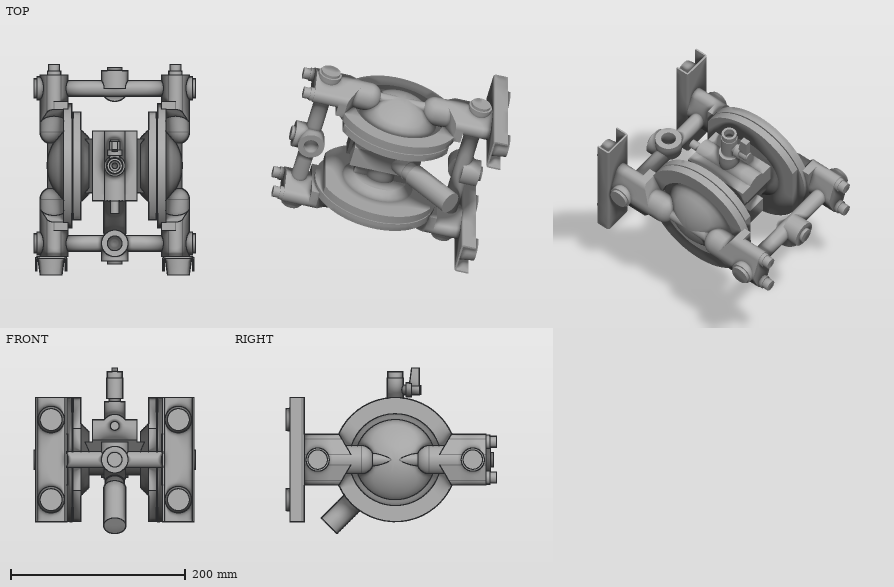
import cadquery as cq
import math


SIDES = (-1, 1)
COS45 = math.cos(math.radians(45))

flange_radius = 71.3
cone_inner_x = 29.5
inner_flange_x = 39.0
inner_flange_outer_x = 47.8
outer_flange_x = 49.3
outer_flange_outer_x = 58.7
cone_small_radius = 32.1
cone_large_radius = cone_small_radius + inner_flange_x - cone_inner_x
inner_flange_flat_y = 61.8
diaphragm_radius = 54.5
recess_radius = 52.7
recess_floor_x = 52.0
dome_apex_x = 77.5
dome_radius = 54.0

block_width = 51.2
block_length = 80.2
block_bottom_z = 22.7
block_top_z = 46.0
ridge_radius = 14.5
ridge_top_z = 52.0
bridge_length = 61.8
bridge_top_z = 20.3
bridge_bottom_z = -8.5
shaft_radius = 17.9
inlet_boss_radius = 11.8
inlet_boss_top_z = 66.5
spool_end_radius = 5.0
spool_end_z = 38.7
spool_end_y = -54.5

exhaust_block_width = 24.2
exhaust_block_bottom_z = -22.2
exhaust_block_chamfer = 11.0
collar_radius = 11.4
collar_end = 37.0
exhaust_neck_radius = 10.6
muffler_start = 46.9
muffler_end = 107.3
muffler_radius = 12.8

arm_x = 69.5
arm_end_y = 104.1
arm_radius = 16.2
lobe_radius = 8.7
lobe_z = 20.5
arm_half_height = lobe_z + lobe_radius
arm_slope_y = 64.5
arm_slope_end_y = 50.7
arm_slope_end_z = 5.8
pad_outer_y = 74.0
stub_end_y = 25.1
stub_rounding = 13.5
cross_pipe_radius = 7.2
cross_pipe_x = 70.0

manifold_y = 89.0
manifold_radius = 9.2
plug_radius = 13.3
plug_end_x = 89.5
plug_cap_radius = 11.0
plug_cap_end_x = 92.8
tee_radius = 15.2
tee_end_y = 109.2
tee_cap_radius = 8.5
tee_cap_end_y = 112.8
tee_port_length = 20.3
port_radius = 8.5
drill_point_angle = 118.0
stud_base_radius = 7.7
stud_base_end_y = 108.5
stud_radius = 6.5
stud_end_y = 116.2

channel_x = 73.0
channel_width = 36.2
channel_depth = 16.7
channel_height = 2 * flange_radius
channel_wall = 2.0
channel_bend = 3.0
foot_z = 46.0
foot_base_radius = 15.2
foot_tip_radius = 12.5
foot_end_y = 125.5

valve_neck_radius = 6.8
valve_body_radius = 9.5
valve_top_radius = 8.7
valve_body_z = 69.8
valve_shoulder_z = 93.7
valve_top_z = 100.7
bore_radius = 6.0
bore_depth = 12.0
waterway_radius = 3.1
waterway_depth = 24.2
stem_z = 80.0
stem_neck_radius = 5.8
stem_collar_radius = 8.2
stem_collar_start_y = 12.0
stem_collar_end_y = 18.4
hub_end_y = 27.8
stem_tip_radius = 5.0
stem_tip_end_y = 29.5
lever_width = 6.8
lever_top_z = 105.0
lever_bottom_y = 16.5
lever_taper_z = 88.5
lever_top_y = 18.5


def rod_x(radius, start, end, y=0.0, z=0.0):
    """Round bar along X."""
    return cq.Workplane("YZ", origin=(start, y, z)).circle(radius).extrude(end - start)


def rod_y(radius, start, end, x=0.0, z=0.0):
    """Round bar along Y."""
    return cq.Workplane("XZ", origin=(x, start, z)).circle(radius).extrude(start - end)


def rod_z(radius, start, end, x=0.0, y=0.0):
    """Round bar along Z."""
    return cq.Workplane("XY", origin=(x, y, start)).circle(radius).extrude(end - start)


def rod_exhaust(radius, start, end):
    """Round bar along the exhaust direction, measured from the pump centre."""
    origin = (0, -start * COS45, -start * COS45)
    plane = cq.Plane(origin=origin, xDir=(1, 0, 0), normal=(0, -1, -1))
    return cq.Workplane(plane).circle(radius).extrude(end - start)


def drill_point_depth(radius):
    """Depth of the conical bottom of a drilled hole."""
    return radius / math.tan(math.radians(drill_point_angle / 2))


def chamber():
    """Diaphragm chamber on the +X side, revolved about X, with two flats on its inner flange."""
    dome_centre_x = dome_apex_x - dome_radius
    dome_edge_radius = math.sqrt(dome_radius**2 - (recess_floor_x - dome_centre_x) ** 2)
    half_angle = math.asin(dome_edge_radius / dome_radius) / 2
    dome_mid = (dome_centre_x + dome_radius * math.cos(half_angle), dome_radius * math.sin(half_angle))
    body = (
        cq.Workplane("XY")
        .moveTo(cone_inner_x, 0)
        .lineTo(cone_inner_x, cone_small_radius)
        .lineTo(inner_flange_x, cone_large_radius)
        .lineTo(inner_flange_x, flange_radius)
        .lineTo(inner_flange_outer_x, flange_radius)
        .lineTo(inner_flange_outer_x, diaphragm_radius)
        .lineTo(outer_flange_x, diaphragm_radius)
        .lineTo(outer_flange_x, flange_radius)
        .lineTo(outer_flange_outer_x, flange_radius)
        .lineTo(outer_flange_outer_x, recess_radius)
        .lineTo(recess_floor_x, recess_radius)
        .lineTo(recess_floor_x, dome_edge_radius)
        .threePointArc(dome_mid, (dome_apex_x, 0))
        .close()
        .revolve(360, (0, 0, 0), (1, 0, 0))
    )
    flat_depth = flange_radius - inner_flange_flat_y
    gap_middle_x = (inner_flange_outer_x + outer_flange_x) / 2
    flat_width = gap_middle_x - inner_flange_x
    for side in SIDES:
        flat_cut = cq.Workplane("XY").box(flat_width, flat_depth, 2 * flange_radius).translate(
            (inner_flange_x + flat_width / 2, side * (inner_flange_flat_y + flat_depth / 2), 0)
        )
        body = body.cut(flat_cut)
    return body


def arm_section(start_y, end_y):
    """Prism along Y whose section is a large circle with a smaller lobe tangent above and below it."""
    tangent = math.asin((arm_radius - lobe_radius) / lobe_z)
    side_x = arm_radius * math.cos(tangent)
    side_z = arm_radius * math.sin(tangent)
    lobe_side_x = lobe_radius * math.cos(tangent)
    lobe_side_z = lobe_z + lobe_radius * math.sin(tangent)
    return (
        cq.Workplane("XZ", origin=(arm_x, start_y, 0))
        .moveTo(side_x, -side_z)
        .threePointArc((arm_radius, 0), (side_x, side_z))
        .lineTo(lobe_side_x, lobe_side_z)
        .threePointArc((0, arm_half_height), (-lobe_side_x, lobe_side_z))
        .lineTo(-side_x, side_z)
        .threePointArc((-arm_radius, 0), (-side_x, -side_z))
        .lineTo(-lobe_side_x, -lobe_side_z)
        .threePointArc((0, -arm_half_height), (lobe_side_x, -lobe_side_z))
        .close()
        .extrude(start_y - end_y)
    )


def arm():
    """Valve housing at the +X, +Y corner, with its sloped inner end, pad, stub and plug."""
    envelope = (
        cq.Workplane("YZ", origin=(arm_x - arm_radius, 0, 0))
        .moveTo(arm_end_y, -arm_half_height)
        .lineTo(arm_slope_y, -arm_half_height)
        .lineTo(arm_slope_end_y, -arm_slope_end_z)
        .lineTo(arm_slope_end_y, arm_slope_end_z)
        .lineTo(arm_slope_y, arm_half_height)
        .lineTo(arm_end_y, arm_half_height)
        .close()
        .extrude(2 * arm_radius)
    )
    pad_length = pad_outer_y - arm_slope_end_y
    pad = cq.Workplane("XY").box(arm_radius, pad_length, 2 * arm_half_height).translate(
        (arm_x - arm_radius / 2, arm_slope_end_y + pad_length / 2, 0)
    )
    housing = arm_section(arm_slope_end_y, arm_end_y).union(pad).intersect(envelope)
    stub = rod_y(arm_radius, stub_end_y, pad_outer_y, arm_x).faces("<Y").edges().fillet(stub_rounding)
    plug = rod_x(plug_radius, arm_x, plug_end_x, manifold_y)
    plug_cap = rod_x(plug_cap_radius, plug_end_x, plug_cap_end_x, manifold_y)
    return housing.union(stub).union(plug).union(plug_cap)


def stud(z):
    """Stepped tie-rod end on the back of the +X housing."""
    base = rod_y(stud_base_radius, arm_end_y, stud_base_end_y, arm_x, z)
    return base.union(rod_y(stud_radius, stud_base_end_y, stud_end_y, arm_x, z))


def channel():
    """Upright mounting channel on the front of the +X housings, open to the front, with two feet."""
    web_y = -arm_end_y
    outer = (
        cq.Workplane("XY")
        .box(channel_width, channel_depth, channel_height)
        .faces(">Y").edges("|Z").fillet(channel_bend)
    )
    inside = (
        cq.Workplane("XY")
        .box(channel_width - 2 * channel_wall, channel_depth, channel_height)
        .faces(">Y").edges("|Z").fillet(channel_bend - channel_wall)
        .translate((0, -channel_wall, 0))
    )
    rail = outer.cut(inside).translate((channel_x, web_y - channel_depth / 2, 0))
    foot_start_y = web_y - channel_wall
    for side in SIDES:
        foot = (
            cq.Workplane("XZ", origin=(channel_x, foot_start_y, side * foot_z))
            .circle(foot_base_radius)
            .workplane(offset=foot_start_y + foot_end_y)
            .circle(foot_tip_radius)
            .loft()
        )
        rail = rail.union(foot)
    return rail


def pump_side():
    """Everything that belongs to the +X half of the pump and is mirrored to the -X half."""
    rear_arm = arm()
    half = chamber().union(rear_arm).union(rear_arm.mirror("XZ"))
    cross_pipe_end_y = stub_end_y + stub_rounding
    half = half.union(rod_y(cross_pipe_radius, -cross_pipe_end_y, cross_pipe_end_y, cross_pipe_x))
    for side in SIDES:
        half = half.union(stud(side * lobe_z))
    return half.union(channel())


def manifold(side, port_direction):
    """Pipe joining two housings, with a tee whose drilled port points up (1) or down (-1)."""
    y = side * manifold_y
    pipe = rod_x(manifold_radius, -arm_x, arm_x, y)
    tee = rod_y(tee_radius, y, side * tee_end_y)
    tee_cap = rod_y(tee_cap_radius, side * tee_end_y, side * tee_cap_end_y)
    port = rod_z(tee_radius, 0, port_direction * tee_port_length, 0, y)
    drill = (
        cq.Workplane("XZ", origin=(0, y, 0))
        .moveTo(0, -port_direction * drill_point_depth(port_radius))
        .lineTo(port_radius, 0)
        .lineTo(port_radius, port_direction * tee_port_length)
        .lineTo(0, port_direction * tee_port_length)
        .close()
        .revolve(360, (0, 0, 0), (0, 1, 0))
    )
    return pipe.union(tee).union(tee_cap).union(port).cut(drill)


def centre_block():
    """Air-valve block with ridge, inlet boss and spool end, seated on the bridge between the chambers."""
    block = cq.Workplane("XY").box(block_width, block_length, block_top_z - block_bottom_z).translate(
        (0, 0, (block_top_z + block_bottom_z) / 2)
    )
    half_length = block_length / 2
    ridge = rod_y(ridge_radius, -half_length, half_length, 0, ridge_top_z - ridge_radius)
    boss = rod_z(inlet_boss_radius, block_bottom_z, inlet_boss_top_z)
    spool_end = rod_y(spool_end_radius, spool_end_y, -half_length, 0, spool_end_z)
    bridge_height = bridge_top_z - bridge_bottom_z
    bridge = cq.Workplane("XY").box(2 * inner_flange_x, bridge_length, bridge_height).translate(
        (0, 0, bridge_bottom_z + bridge_height / 2)
    )
    shaft = rod_x(shaft_radius, -cone_inner_x, cone_inner_x)
    seat = cq.Workplane("XY").box(block_width, bridge_length, block_bottom_z).translate(
        (0, 0, block_bottom_z / 2)
    )
    body = block.union(ridge).union(boss).union(spool_end)
    return body.union(bridge).union(shaft).union(seat)


def exhaust():
    """Exhaust block with its sloped face, collar, neck and muffler."""
    block = (
        cq.Workplane("XY")
        .box(exhaust_block_width, block_length, -exhaust_block_bottom_z)
        .translate((0, 0, exhaust_block_bottom_z / 2))
        .faces("<Z").edges("<Y").chamfer(exhaust_block_chamfer)
    )
    collar = rod_exhaust(collar_radius, 0, collar_end)
    neck = rod_exhaust(exhaust_neck_radius, collar_end, muffler_start)
    muffler = rod_exhaust(muffler_radius, muffler_start, muffler_end)
    return block.union(collar).union(neck).union(muffler)


def build_pump():
    right_half = pump_side()
    pump = centre_block().union(exhaust()).union(right_half).union(right_half.mirror("YZ"))
    return pump.union(manifold(-1, 1)).union(manifold(1, -1))


def valve_body():
    """Turned valve body with a stepped bore open at the top."""
    neck = rod_z(valve_neck_radius, inlet_boss_top_z, valve_body_z)
    barrel = rod_z(valve_body_radius, valve_body_z, valve_shoulder_z)
    top = rod_z(valve_top_radius, valve_shoulder_z, valve_top_z)
    return neck.union(barrel).union(top)


def valve_bore():
    """Bore with a 45 degree step down to the narrower waterway, which ends in a drill point."""
    step_z = valve_top_z - bore_depth
    bottom_z = valve_top_z - waterway_depth
    return (
        cq.Workplane("XZ")
        .moveTo(0, valve_top_z)
        .lineTo(bore_radius, valve_top_z)
        .lineTo(bore_radius, step_z)
        .lineTo(waterway_radius, step_z - (bore_radius - waterway_radius))
        .lineTo(waterway_radius, bottom_z)
        .lineTo(0, bottom_z - drill_point_depth(waterway_radius))
        .close()
        .revolve(360, (0, 0, 0), (0, 1, 0))
    )


def valve_handle():
    """Stem along +Y with collar and hub, and an upright lever that widens toward the stem."""
    stem = rod_y(stem_neck_radius, 0, hub_end_y, 0, stem_z)
    collar = rod_y(stem_collar_radius, stem_collar_start_y, stem_collar_end_y, 0, stem_z)
    tip = rod_y(stem_tip_radius, hub_end_y, stem_tip_end_y, 0, stem_z)
    lever = (
        cq.Workplane("YZ", origin=(-lever_width / 2, 0, 0))
        .moveTo(hub_end_y, stem_z)
        .lineTo(hub_end_y, lever_top_z)
        .lineTo(lever_top_y, lever_top_z)
        .lineTo(lever_bottom_y, lever_taper_z)
        .lineTo(lever_bottom_y, stem_z)
        .close()
        .extrude(lever_width)
    )
    return stem.union(collar).union(tip).union(lever)


def build_valve():
    return valve_body().union(valve_handle()).cut(valve_bore())


pump = build_pump()
valve = build_valve()
result = cq.Compound.makeCompound([*pump.solids().vals(), *valve.solids().vals()])